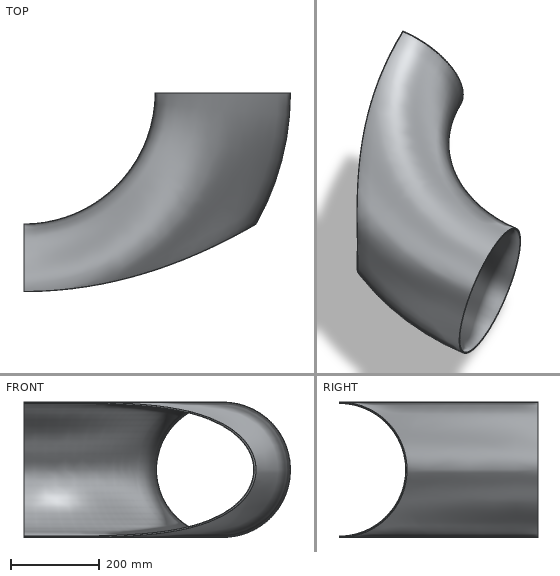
import cadquery as cq

bend_radius = 450.0
pipe_radius = 153.0
wall = 3.0
bend_angle = 90

bore_radius = pipe_radius - wall
outer_reach = bend_radius + pipe_radius


def mitre_y(x):
    """Y of the mitre curve: equally far from the bend centreline and from its tangent at X = 0."""
    return x**2 / (4 * bend_radius) - bend_radius


def make_elbow():
    """Full quarter-bend pipe, from the Y = 0 end to the X = 0 end."""
    return (
        cq.Workplane("XZ")
        .center(bend_radius, 0)
        .circle(pipe_radius)
        .circle(bore_radius)
        .revolve(bend_angle, (-bend_radius, 0), (-bend_radius, -1))
    )


def make_mitre_cutter():
    """Block over the whole pipe height that clears everything outside the mitre curve.

    The curve is a parabola, so a three-pole Bezier follows it exactly. It leaves the
    centre of the X = 0 end along X, matching a straight pipe of the same diameter there.
    """
    start = (0, -bend_radius)
    middle_pole = (outer_reach / 2, -bend_radius)
    end = (outer_reach, mitre_y(outer_reach))
    return (
        cq.Workplane("XY")
        .moveTo(*start)
        .bezier([start, middle_pole, end])
        .lineTo(outer_reach, -outer_reach)
        .lineTo(0, -outer_reach)
        .close()
        .extrude(pipe_radius, both=True)
    )


result = make_elbow().cut(make_mitre_cutter())